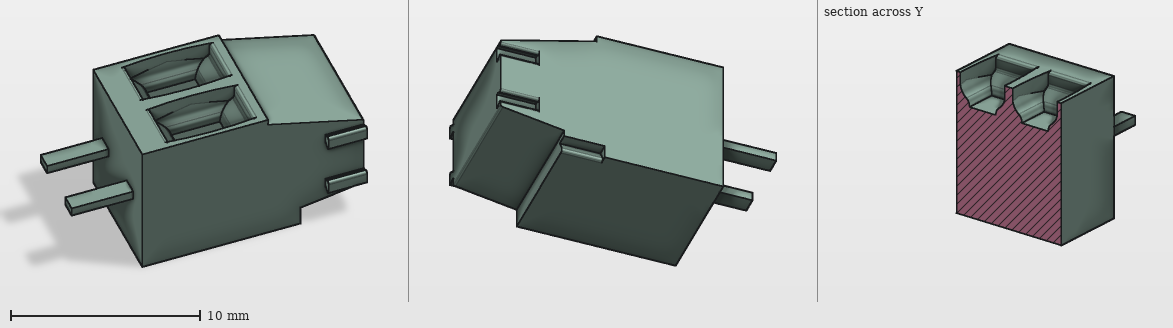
import cadquery as cq
import math


POLES = 2
PITCH = 3.5
BODY_WIDTH = POLES * PITCH
BODY_LENGTH = 12.6
BODY_HEIGHT = 8.2
LEFT_X = -BODY_WIDTH / 2
RIGHT_X = BODY_WIDTH / 2
POLE_XS = [LEFT_X + (i + 0.5) * PITCH for i in range(POLES)]

TOP_STEP_Y = 7.15
TOP_STEP_DROP = 0.35
BACK_TOP_Z = 6.3
BACK_BOTTOM_Z = 1.75
BOTTOM_STEP_Y = 9.0
BOTTOM_STEP_RISE = 1.15
BACK_EDGE_RADIUS = 0.14

PIN_WIDTH = 0.92
PIN_HEIGHT = 0.53
PIN_LENGTH = 3.5
PIN_Z = BODY_HEIGHT / 2

WINDOW_WIDTH = 2.67
WINDOW_LENGTH = 5.2
WINDOW_BOW = 0.15
WINDOW_CENTRE_Y = 4.06
FUNNEL_SLOPE = math.radians(36.5)
SHOULDER_DEPTH = 1.37
THROAT_RADIUS = 0.58
END_SHOULDER_INSET = 0.97
SIDE_SHOULDER_INSET = 0.39
END_RIM_RADIUS = 0.2
RIM_MID_ANGLE = math.radians(135)
END_HOLLOW_RADIUS = 0.25
SIDE_HOLLOW_RADIUS = SIDE_SHOULDER_INSET / (1 - math.sin(FUNNEL_SLOPE))

RIB_ZS = [2.5, 5.7]
RIB_LENGTH = 2.2
RIB_REACH = 0.5
RIB_NECK_LENGTH = 0.1
RIB_NECK_HALF = 0.27
RIB_FLARE_HALF = 0.36
RIB_FLARE_REACH = 0.25
RIB_CROWN_HALF = 0.41
RIB_CROWN_REACH = 0.36
RIB_END_HALF = 0.29
RIB_CLEARANCE = 0.05
GROOVE_LIP_RADIUS = 0.15
LIP_MID_ANGLE = math.radians(225)

NOTCH_LENGTH = 2.3
NOTCH_CEILING_Z = 0.77
NOTCH_DEPTH = 0.66
NOTCH_LEAN = math.radians(30)
NOTCH_LIP_RADIUS = 0.16

SHORTEST_EDGE = 1e-4


def body():
    """Side outline with sloping back end, extruded across the width."""
    return (
        cq.Workplane("YZ", origin=(LEFT_X, 0, 0))
        .moveTo(0, 0)
        .lineTo(BOTTOM_STEP_Y, 0)
        .lineTo(BOTTOM_STEP_Y, BOTTOM_STEP_RISE)
        .lineTo(BODY_LENGTH, BACK_BOTTOM_Z)
        .lineTo(BODY_LENGTH, BACK_TOP_Z)
        .lineTo(TOP_STEP_Y, BODY_HEIGHT - TOP_STEP_DROP)
        .lineTo(TOP_STEP_Y, BODY_HEIGHT)
        .lineTo(0, BODY_HEIGHT)
        .close()
        .extrude(BODY_WIDTH)
        .faces(">Y").edges("|X").fillet(BACK_EDGE_RADIUS)
    )


def pin(x):
    """Flat contact pin standing out of the front face."""
    return (
        cq.Workplane("XZ", origin=(x, 0, PIN_Z))
        .rect(PIN_WIDTH, PIN_HEIGHT)
        .extrude(PIN_LENGTH)
    )


def arc_point(centre, radius, angle):
    """Point on a circle, angle in radians from the first axis."""
    return (centre[0] + radius * math.cos(angle), centre[1] + radius * math.sin(angle))


def funnel_half(plane, origin, half_opening, shoulder_inset, hollow_radius, rim_radius, length):
    """Half of a window's cross section, extruded to both sides of its plane.

    From the top: rounded rim, upright wall, hollow blend, funnel slope, round throat, floor.
    """
    wall = half_opening - rim_radius
    shoulder = half_opening - shoulder_inset

    hollow_x = wall - hollow_radius
    slope_start_x = hollow_x + hollow_radius * math.sin(FUNNEL_SLOPE)
    slope_start_z = -SHOULDER_DEPTH + (slope_start_x - shoulder) * math.tan(FUNNEL_SLOPE)
    hollow_centre = (hollow_x, slope_start_z + hollow_radius * math.cos(FUNNEL_SLOPE))

    throat_centre = (
        shoulder + THROAT_RADIUS * math.sin(FUNNEL_SLOPE),
        -SHOULDER_DEPTH - THROAT_RADIUS * math.cos(FUNNEL_SLOPE),
    )
    throat_start = math.pi / 2 + FUNNEL_SLOPE
    throat_end = math.pi
    throat_foot = (throat_centre[0] - THROAT_RADIUS, throat_centre[1])

    section = cq.Workplane(plane, origin=origin).lineTo(half_opening, 0)
    if rim_radius:
        rim_centre = (half_opening, -rim_radius)
        section = section.threePointArc(
            arc_point(rim_centre, rim_radius, RIM_MID_ANGLE), (wall, -rim_radius)
        )
    section = section.lineTo(wall, hollow_centre[1]).threePointArc(
        arc_point(hollow_centre, hollow_radius, (FUNNEL_SLOPE - math.pi / 2) / 2),
        (slope_start_x, slope_start_z),
    )
    if slope_start_x - shoulder > SHORTEST_EDGE:
        section = section.lineTo(shoulder, -SHOULDER_DEPTH)
    throat_mid = arc_point(throat_centre, THROAT_RADIUS, (throat_start + throat_end) / 2)
    return (
        section.threePointArc(throat_mid, throat_foot)
        .lineTo(0, throat_foot[1])
        .close()
        .extrude(length, both=True)
    )


def window(x):
    """Funnel-shaped pocket with bowed long sides, sunk into the top face."""
    origin = (x, WINDOW_CENTRE_Y, BODY_HEIGHT)
    half_width = WINDOW_WIDTH / 2
    half_length = WINDOW_LENGTH / 2
    widest = half_width + WINDOW_BOW

    plan = (
        cq.Workplane("XY", origin=origin)
        .moveTo(-half_width, -half_length)
        .lineTo(half_width, -half_length)
        .threePointArc((widest, 0), (half_width, half_length))
        .lineTo(-half_width, half_length)
        .threePointArc((-widest, 0), (-half_width, -half_length))
        .close()
        .extrude(-BODY_HEIGHT / 2)
    )
    along = funnel_half(
        "YZ", origin, half_length, END_SHOULDER_INSET, END_HOLLOW_RADIUS, END_RIM_RADIUS, WINDOW_WIDTH
    )
    across = funnel_half(
        "XZ", origin, widest, SIDE_SHOULDER_INSET, SIDE_HOLLOW_RADIUS, 0, WINDOW_LENGTH
    )
    along = along.union(along.mirror("XZ", origin))
    across = across.union(across.mirror("YZ", origin))
    return plan.intersect(along).intersect(across)


def rib(z):
    """Mushroom-headed rib on the right side, flush with the back face."""
    return (
        cq.Workplane("XZ", origin=(RIGHT_X, BODY_LENGTH, z))
        .moveTo(0, -RIB_NECK_HALF)
        .lineTo(RIB_NECK_LENGTH, -RIB_NECK_HALF)
        .lineTo(RIB_FLARE_REACH, -RIB_FLARE_HALF)
        .threePointArc((RIB_CROWN_REACH, -RIB_CROWN_HALF), (RIB_REACH, -RIB_END_HALF))
        .lineTo(RIB_REACH, RIB_END_HALF)
        .threePointArc((RIB_CROWN_REACH, RIB_CROWN_HALF), (RIB_FLARE_REACH, RIB_FLARE_HALF))
        .lineTo(RIB_NECK_LENGTH, RIB_NECK_HALF)
        .lineTo(0, RIB_NECK_HALF)
        .close()
        .extrude(RIB_LENGTH)
    )


def groove(z):
    """Undercut groove on the left side, with rounded lips, that takes a neighbour's rib."""
    neck = RIB_NECK_HALF + RIB_CLEARANCE
    mouth = neck + GROOVE_LIP_RADIUS
    head = RIB_CROWN_HALF + RIB_CLEARANCE
    depth = RIB_REACH + RIB_CLEARANCE
    lip_mid = arc_point((GROOVE_LIP_RADIUS, mouth), GROOVE_LIP_RADIUS, LIP_MID_ANGLE)
    return (
        cq.Workplane("XZ", origin=(LEFT_X, BODY_LENGTH, z))
        .moveTo(0, -mouth)
        .threePointArc((lip_mid[0], -lip_mid[1]), (GROOVE_LIP_RADIUS, -neck))
        .lineTo(RIB_CROWN_REACH, -head)
        .lineTo(depth, -head)
        .lineTo(depth, head)
        .lineTo(RIB_CROWN_REACH, head)
        .lineTo(GROOVE_LIP_RADIUS, neck)
        .threePointArc(lip_mid, (0, mouth))
        .close()
        .extrude(RIB_LENGTH)
    )


def notch():
    """Recess in the lower left edge whose inner wall leans out to a rounded lip."""
    lip_top_z = NOTCH_LIP_RADIUS * (1 + math.sin(NOTCH_LEAN))
    lip_top_x = NOTCH_DEPTH - (NOTCH_CEILING_Z - lip_top_z) * math.tan(NOTCH_LEAN)
    lip_centre = (lip_top_x + NOTCH_LIP_RADIUS * math.cos(NOTCH_LEAN), NOTCH_LIP_RADIUS)
    return (
        cq.Workplane("XZ", origin=(LEFT_X, BOTTOM_STEP_Y, 0))
        .lineTo(0, NOTCH_CEILING_Z)
        .lineTo(NOTCH_DEPTH, NOTCH_CEILING_Z)
        .lineTo(lip_top_x, lip_top_z)
        .threePointArc((lip_centre[0] - NOTCH_LIP_RADIUS, lip_centre[1]), (lip_centre[0], 0))
        .close()
        .extrude(NOTCH_LENGTH)
    )


result = body()
for pole_x in POLE_XS:
    result = result.cut(window(pole_x))
    result = result.union(pin(pole_x))
for rib_z in RIB_ZS:
    result = result.cut(groove(rib_z))
    result = result.union(rib(rib_z))
result = result.cut(notch())